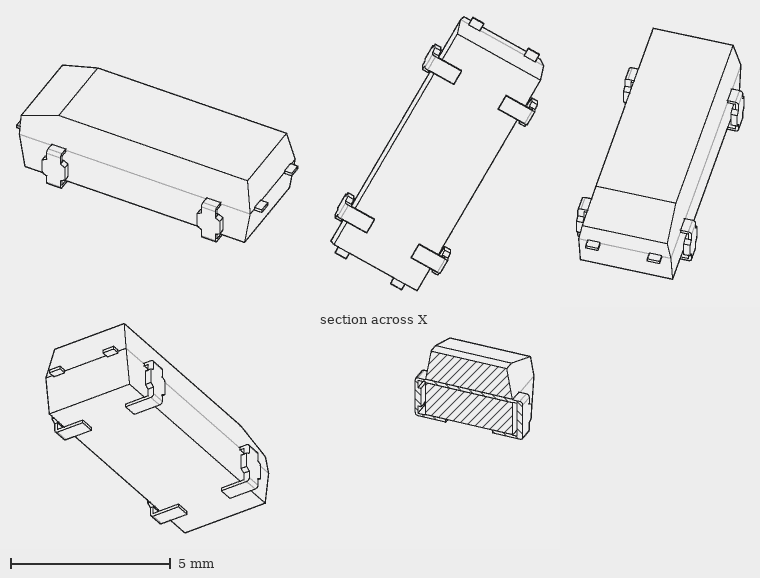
import cadquery as cq

overall_length = 8.7
overall_width = 3.7
overall_height = 2.5
half_length = overall_length / 2
half_depth = overall_width / 2

sheet = 0.105
strip_top = 1.4
lead_pitch = 5.5
lead_shift = 0.05
stem_width = 0.5
foot_tip = 0.8

wing_span = 0.81
wing_thickness = 0.21
wing_bottom = 0.36
wing_top = 1.04
wing_bevel_height = 0.09

housing_length = 8.195
housing_width = 3.0
half_housing_length = housing_length / 2
half_housing_width = housing_width / 2
base_z = sheet
parting_z = 1.36
draft_inset = 0.2
nose_height = 2.04
nose_length = 1.3

tab_width = 0.4
tab_offset = 1.0


def make_box(x_range, y_range, z_range):
    """Box between the given lower and upper limits."""
    sizes = [high - low for low, high in (x_range, y_range, z_range)]
    corner = (x_range[0], y_range[0], z_range[0])
    return cq.Workplane("XY").box(*sizes, centered=False).translate(corner)


def make_folded_strip(x_center):
    """Strip through the housing, folded down both sides and under the base."""
    x_range = (x_center - stem_width / 2, x_center + stem_width / 2)
    outside = make_box(x_range, (-half_depth, half_depth), (0, strip_top)).edges("|X").fillet(sheet)
    inside = make_box(
        x_range,
        (sheet - half_depth, half_depth - wing_thickness),
        (sheet, strip_top - sheet),
    )
    foot_gap = make_box(x_range, (-foot_tip, foot_tip), (0, sheet))
    return outside.cut(inside).cut(foot_gap)


def make_wing(x_center, y_back):
    """Bevelled plate across an upright; y_back is its +Y face."""
    half_stem = stem_width / 2
    half_span = wing_span / 2
    shoulder_low = wing_bottom + wing_bevel_height
    shoulder_high = wing_top - wing_bevel_height
    outline = [
        (-half_stem, wing_bottom),
        (-half_span, shoulder_low),
        (-half_span, shoulder_high),
        (-half_stem, wing_top),
        (half_stem, wing_top),
        (half_span, shoulder_high),
        (half_span, shoulder_low),
        (half_stem, wing_bottom),
    ]
    plate = cq.Workplane("XZ").polyline(outline).close().extrude(wing_thickness)
    return plate.translate((x_center, y_back, 0))


def make_lead(x_center):
    """Folded strip with a wing on each upright, flush with its outer face."""
    lead = make_folded_strip(x_center)
    for y_back in (half_depth, wing_thickness - half_depth):
        lead = lead.union(make_wing(x_center, y_back))
    return lead


def make_housing_shell():
    """Block drafted at both ends and along the lid sides, with a sloping nose at -X."""
    side_outline = [
        (draft_inset - half_housing_length, base_z),
        (-half_housing_length, parting_z),
        (-half_housing_length, nose_height),
        (nose_length - half_housing_length, overall_height),
        (half_housing_length - draft_inset, overall_height),
        (half_housing_length, parting_z),
        (half_housing_length - draft_inset, base_z),
    ]
    end_outline = [
        (-half_housing_width, base_z),
        (-half_housing_width, parting_z),
        (draft_inset - half_housing_width, overall_height),
        (half_housing_width - draft_inset, overall_height),
        (half_housing_width, parting_z),
        (half_housing_width, base_z),
    ]
    side = cq.Workplane("XZ").polyline(side_outline).close().extrude(half_housing_width, both=True)
    end = cq.Workplane("YZ").polyline(end_outline).close().extrude(half_housing_length, both=True)
    return side.intersect(end)


def make_housing(leads):
    """Housing with two tabs at each end and a matching passage for each lead."""
    housing = make_housing_shell()
    for y_center in (-tab_offset, tab_offset):
        tab_bar = make_box(
            (-half_length, half_length),
            (y_center - tab_width / 2, y_center + tab_width / 2),
            (strip_top - sheet, strip_top),
        )
        housing = housing.union(tab_bar)
    for lead in leads:
        housing = housing.cut(lead)
    return housing


leads = [make_lead(lead_shift + end * lead_pitch / 2) for end in (-1, 1)]
housing = make_housing(leads)

result = cq.Compound.makeCompound([housing.solids().val(), *[lead.solids().val() for lead in leads]])